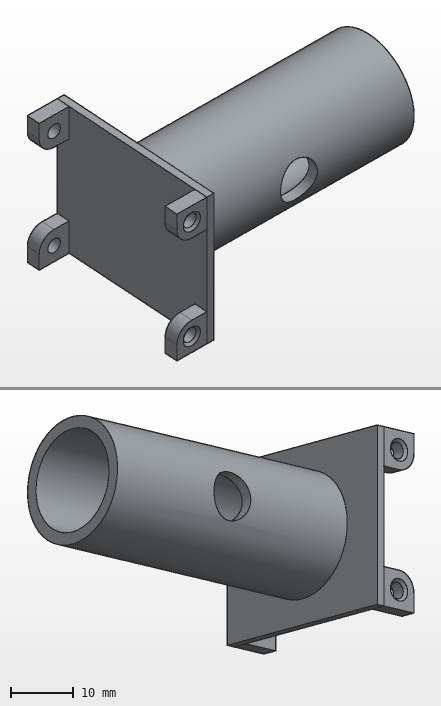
import cadquery as cq

TOTAL_LENGTH = 58.0
PLATE_WIDTH = 35.0
PLATE_HEIGHT = 29.5
PLATE_THICKNESS = 1.5

TUBE_LENGTH = 50.0
TUBE_DIAMETER = 21.0
BORE_DIAMETER = 17.0
CROSS_HOLE_DIAMETER = 8.0

LUG_REACH = TOTAL_LENGTH - TUBE_LENGTH - PLATE_THICKNESS
LUG_HEIGHT = 6.5
LUG_THICKNESS = 2.8
LUG_RADIUS = LUG_HEIGHT / 2
LUG_HOLE_DIAMETER = 2.7
COUNTERSINK_DIAMETER = 3.7
COUNTERSINK_DEPTH = (COUNTERSINK_DIAMETER - LUG_HOLE_DIAMETER) / 2


def make_housing():
    """Plate with a tube on its back; the back of the plate lies at Y = 0."""
    plate = cq.Workplane("XY").box(
        PLATE_WIDTH, PLATE_THICKNESS, PLATE_HEIGHT
    ).translate((0, -PLATE_THICKNESS / 2, 0))

    tube = (
        cq.Workplane("XZ")
        .circle(TUBE_DIAMETER / 2)
        .circle(BORE_DIAMETER / 2)
        .extrude(-TUBE_LENGTH)
    )

    cross_hole = (
        cq.Workplane("YZ")
        .center(TUBE_LENGTH / 2, 0)
        .circle(CROSS_HOLE_DIAMETER / 2)
        .extrude(TUBE_DIAMETER, both=True)
    )
    return plate.union(tube).cut(cross_hole)


def make_lug(x_side, z_side):
    """Corner lug on the plate front, with a hole countersunk from its outer face."""
    outer_x = -PLATE_WIDTH / 2
    top = PLATE_HEIGHT / 2
    bottom = top - LUG_HEIGHT
    root = -PLATE_THICKNESS
    tip = root - LUG_REACH

    body = (
        cq.Workplane("YZ", origin=(outer_x, 0, 0))
        .moveTo(root, top)
        .lineTo(tip, top)
        .lineTo(tip, bottom + LUG_RADIUS)
        .radiusArc((tip + LUG_RADIUS, bottom), -LUG_RADIUS)
        .lineTo(root, bottom)
        .close()
        .extrude(LUG_THICKNESS)
    )

    hole_center = cq.Vector(outer_x, tip + LUG_RADIUS, bottom + LUG_RADIUS)
    inward = cq.Vector(1, 0, 0)
    hole = cq.Solid.makeCylinder(LUG_HOLE_DIAMETER / 2, LUG_THICKNESS, hole_center, inward)
    countersink = cq.Solid.makeCone(
        COUNTERSINK_DIAMETER / 2, LUG_HOLE_DIAMETER / 2, COUNTERSINK_DEPTH, hole_center, inward
    )
    lug = body.cut(cq.Workplane(hole)).cut(cq.Workplane(countersink))

    if x_side > 0:
        lug = lug.mirror("YZ")
    if z_side < 0:
        lug = lug.mirror("XY")
    return lug


housing = make_housing()
lugs = [make_lug(x_side, z_side) for x_side in (-1, 1) for z_side in (-1, 1)]

result = cq.Compound.makeCompound([housing.val(), *[lug.val() for lug in lugs]])